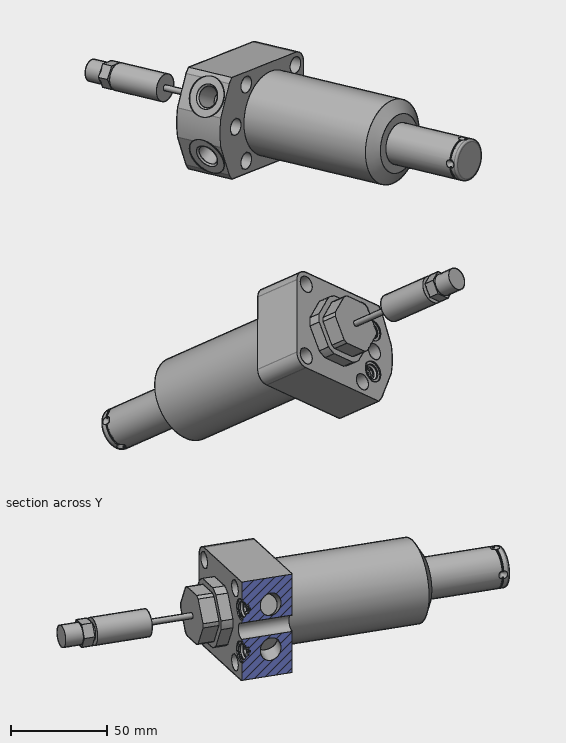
import cadquery as cq
import math


plug_tip_end = 10.0
plug_hex_end = 15.8
plug_neck_end = 17.3
plug_sleeve_end = 48.0
plug_tip_radius = 6.0
plug_hex_flats = 13.0
plug_neck_radius = 4.7
plug_sleeve_radius = 7.5
cable_radius = 1.6

cap_start = 73.3
cap_step = 82.2
cap_small_flats = 27.5
cap_small_corners = 30.5
cap_large_flats = 33.7
cap_large_corners = 36.5

block_start = 89.0
block_end = 117.4
block_half = 27.7
block_nose_radius = 43.0
block_corner_radius = 6.7

mount_hole_diameter = 9.0
mount_hole_offset = 20.8
nose_hole_offset = 29.7

port_angle = 23
port_flat_distance = 42.0
port_x = 105.2
port_spotface_depth = 0.5
port_spotface_radius = 11.0
port_radius = 6.7
port_chamfer = 1.0
port_depth = 14.9

screw_y = -28.7
screw_z = 12.0
screw_recess_radius = 5.7
screw_recess_depth = 0.7
screw_bore_radius = 4.2
screw_seat_radius = 3.2
screw_bore_depth = 1.5
screw_key_flats = 4.5
screw_key_depth = 4.0
screw_pilot_radius = 1.0
screw_pilot_depth = 5.0

body_end = 201.5
body_radius = 22.8
body_chamfer_length = 4.5
body_chamfer_height = 7.0
rod_end = 247.5
rod_radius = 11.1
rod_edge_radius = 1.2

groove_center = 243.7
groove_width = 0.7
groove_depth = 0.7
dimple_radius = 2.5
dimple_depth = 2.5
dimple_count = 4


def yz_plane(x):
    """Workplane square to X at the given station: local x is Y, local y is Z."""
    return cq.Workplane("YZ", origin=(x, 0, 0))


def rod_between(start, end, radius):
    return yz_plane(start).circle(radius).extrude(end - start)


def hex_points(flats):
    """Corners of a hexagon with two flats facing +Z and -Z."""
    corner = flats / math.sqrt(3)
    angles = [math.radians(60 * i) for i in range(6)]
    return [(corner * math.cos(a), corner * math.sin(a)) for a in angles]


def hex_between(start, end, flats):
    return yz_plane(start).polyline(hex_points(flats)).close().extrude(end - start)


def trimmed_hex(start, end, flats, corners):
    """Hexagonal prism with its corners turned down to a diameter."""
    return hex_between(start, end, flats).intersect(rod_between(start, end, corners / 2))


def make_plug():
    plug = rod_between(0, plug_tip_end, plug_tip_radius)
    plug = plug.union(hex_between(plug_tip_end, plug_hex_end, plug_hex_flats))
    plug = plug.union(rod_between(plug_hex_end, plug_neck_end, plug_neck_radius))
    plug = plug.union(rod_between(plug_neck_end, plug_sleeve_end, plug_sleeve_radius))
    return plug.union(rod_between(plug_sleeve_end, cap_start, cable_radius))


def make_cap():
    small = trimmed_hex(cap_start, cap_step, cap_small_flats, cap_small_corners)
    large = trimmed_hex(cap_step, block_start, cap_large_flats, cap_large_corners)
    return small.union(large)


def nose_point(degrees):
    """Point on the nose circle, measured from -Y towards +Z."""
    angle = math.radians(degrees)
    return (-block_nose_radius * math.cos(angle), block_nose_radius * math.sin(angle))


def make_block():
    """Square block whose -Y side is a round nose cut by two inclined flats."""
    half_chord = math.degrees(math.acos(port_flat_distance / block_nose_radius))
    flat_low = port_angle - half_chord
    flat_high = port_angle + half_chord
    corner_angle = math.degrees(math.asin(block_half / block_nose_radius))
    corner_middle = (flat_high + corner_angle) / 2
    block = (
        yz_plane(block_start)
        .moveTo(block_half, block_half)
        .lineTo(*nose_point(corner_angle))
        .threePointArc(nose_point(corner_middle), nose_point(flat_high))
        .lineTo(*nose_point(flat_low))
        .threePointArc(nose_point(0), nose_point(-flat_low))
        .lineTo(*nose_point(-flat_high))
        .threePointArc(nose_point(-corner_middle), nose_point(-corner_angle))
        .lineTo(block_half, -block_half)
        .close()
        .extrude(block_end - block_start)
    )
    return block.edges("|X and >Y").fillet(block_corner_radius)


def make_mounting_holes():
    side = 2 * mount_hole_offset
    length = block_end - block_start
    corners = yz_plane(block_start).rect(side, side, forConstruction=True).vertices()
    holes = corners.circle(mount_hole_diameter / 2).extrude(length)
    nose_hole = yz_plane(block_start).center(-nose_hole_offset, 0)
    return holes.union(nose_hole.circle(mount_hole_diameter / 2).extrude(length))


def make_port(side):
    """Spotfaced blind port; side is +1 for the upper port, -1 for the lower one."""
    angle = math.radians(port_angle)
    outward = cq.Vector(0, -math.cos(angle), side * math.sin(angle))
    face_distance = port_flat_distance - port_spotface_depth
    face_center = cq.Vector(port_x, 0, 0) + outward * face_distance
    face = cq.Workplane(cq.Plane(face_center, xDir=(1, 0, 0), normal=outward))
    spotface = face.circle(port_spotface_radius).extrude(block_nose_radius - face_distance)
    bore = face.circle(port_radius - port_chamfer).extrude(-port_depth)
    countersink = face.circle(port_radius).extrude(-port_chamfer, taper=45)
    return spotface.union(bore).union(countersink)


def make_screw_recess(side):
    """Stepped recess with a 45 degree seat, a hexagonal key socket and a pilot hole."""
    face = yz_plane(block_start).center(screw_y, side * screw_z)
    recess = face.circle(screw_recess_radius).extrude(screw_recess_depth)
    bore = face.circle(screw_bore_radius).extrude(screw_bore_depth)
    seat = (
        face.workplane(offset=screw_bore_depth)
        .circle(screw_bore_radius)
        .extrude(screw_bore_radius - screw_seat_radius, taper=45)
    )
    key = face.polyline(hex_points(screw_key_flats)).close().extrude(screw_key_depth)
    pilot = face.circle(screw_pilot_radius).extrude(screw_pilot_depth)
    return recess.union(bore).union(seat).union(key).union(pilot)


def make_body():
    chamfer_start = body_end - body_chamfer_length
    return (
        cq.Workplane("XY")
        .moveTo(block_end, 0)
        .lineTo(block_end, body_radius)
        .lineTo(chamfer_start, body_radius)
        .lineTo(body_end, body_radius - body_chamfer_height)
        .lineTo(body_end, 0)
        .close()
        .revolve(360, (0, 0, 0), (1, 0, 0))
    )


def make_rod():
    rod = rod_between(body_end, rod_end, rod_radius).faces(">X").edges().fillet(rod_edge_radius)
    groove = (
        yz_plane(groove_center - groove_width / 2)
        .circle(rod_radius)
        .circle(rod_radius - groove_depth)
        .extrude(groove_width)
    )
    rod = rod.cut(groove)
    rim_center = cq.Vector(groove_center, 0, rod_radius)
    inward = cq.Vector(0, 0, -1)
    dimple = cq.Workplane(cq.Solid.makeCone(dimple_radius, 0, dimple_depth, rim_center, inward))
    for i in range(dimple_count):
        rod = rod.cut(dimple.rotate((0, 0, 0), (1, 0, 0), i * 360 / dimple_count))
    return rod


block = make_block().cut(make_mounting_holes())
for side in (1, -1):
    block = block.cut(make_port(side)).cut(make_screw_recess(side))

result = make_plug().union(make_cap()).union(block).union(make_body()).union(make_rod())